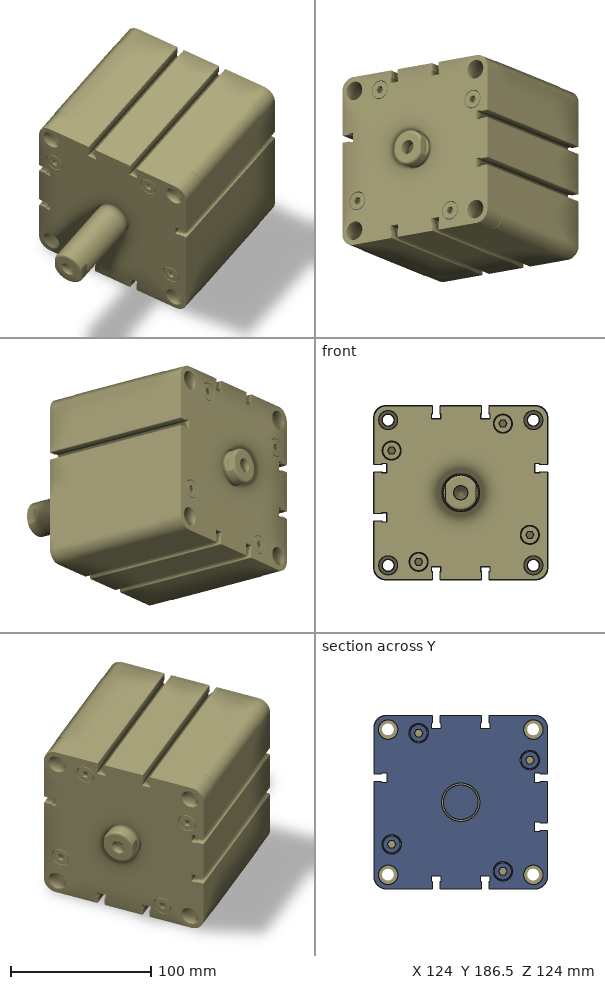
import cadquery as cq
import math

housing_width = 124.0
housing_length = 117.5
cover_length = 19.25
cover_corner_radius = 9.3
tube_corner_radius = 8.5
tube_length = housing_length - 2 * cover_length

slot_offset = 17.5
slot_mouth_width = 5.2
slot_mouth_depth = 5.8
slot_mouth_chamfer = 0.4
slot_inner_width = 6.5
slot_depth = 9.3

mounting_pitch = 103.4
mounting_hole_diameter = 8.38
mounting_bore_diameter = 13.5
mounting_bore_depth = 20.0

screw_far_offset = 49.2
screw_near_offset = 30.0
screw_bore_diameter = 13.5
screw_head_diameter = 12.5
screw_head_height = 7.0
screw_socket_flats = 5.0
screw_socket_depth = 4.0

rod_diameter = 25.0
rod_front_length = 59.5
rod_rear_length = 9.5
rod_length = rod_front_length + housing_length + rod_rear_length
rod_end_radius = 1.8
rod_flats_width = 22.0
rod_flats_length = 7.0
rod_seal_diameter = 27.0
rod_seal_depth = 2.0
rod_thread_diameter = 10.11
rod_thread_depth = 24.0
drill_tip_angle = 118.0

front_face_y = 0.0
rear_face_y = front_face_y + housing_length
rod_front_y = front_face_y - rod_front_length
middle_y = front_face_y + housing_length / 2


def section_plane(y):
    """Plane across the part at y: local x is X, local y is Z, normal is -Y."""
    return cq.Workplane("XZ", origin=(0, y, 0))


def rounded_block(start_y, length, corner_radius):
    block = section_plane(start_y).rect(housing_width, housing_width).extrude(-length)
    return block.edges("|Y").fillet(corner_radius)


def mirror_to_rear(shape):
    """Copy a feature of the front cover onto the rear cover."""
    return shape.mirror("XZ", (0, middle_y, 0))


def make_slot(offset, side_angle):
    """T-slot cutter for the top side, turned about Y to another side."""
    top = housing_width / 2
    mouth_half = slot_mouth_width / 2
    inner_half = slot_inner_width / 2
    left_half = [
        (-mouth_half - slot_mouth_chamfer, top),
        (-mouth_half, top - slot_mouth_chamfer),
        (-mouth_half, top - slot_mouth_depth),
        (-inner_half, top - slot_mouth_depth),
        (-inner_half, top - slot_depth),
    ]
    right_half = [(-x, z) for x, z in reversed(left_half)]
    slot = (
        section_plane(front_face_y)
        .center(offset, 0)
        .polyline(left_half + right_half)
        .close()
        .extrude(-housing_length)
    )
    return slot.rotate((0, 0, 0), (0, 1, 0), side_angle)


def make_housing():
    housing = rounded_block(front_face_y, cover_length, cover_corner_radius)
    housing = housing.union(rounded_block(front_face_y + cover_length, tube_length, tube_corner_radius))
    housing = housing.union(rounded_block(rear_face_y - cover_length, cover_length, cover_corner_radius))

    top_angle, right_angle, bottom_angle, left_angle = 0, 90, 180, 270
    for angle in (top_angle, bottom_angle, left_angle):
        for offset in (-slot_offset, slot_offset):
            housing = housing.cut(make_slot(offset, angle))
    return housing.cut(make_slot(-slot_offset, right_angle))


def make_mounting_holes():
    through = (
        section_plane(front_face_y)
        .rect(mounting_pitch, mounting_pitch, forConstruction=True)
        .vertices()
        .circle(mounting_hole_diameter / 2)
        .extrude(-housing_length)
    )
    bores = (
        section_plane(front_face_y)
        .rect(mounting_pitch, mounting_pitch, forConstruction=True)
        .vertices()
        .circle(mounting_bore_diameter / 2)
        .extrude(-mounting_bore_depth)
    )
    return through.union(bores).union(mirror_to_rear(bores))


def make_screw_recesses():
    """Ring gaps around the four screw heads, and their hexagon sockets."""
    centres = [
        (screw_near_offset, screw_far_offset),
        (screw_far_offset, -screw_near_offset),
        (-screw_near_offset, -screw_far_offset),
        (-screw_far_offset, screw_near_offset),
    ]
    rings = (
        section_plane(front_face_y)
        .pushPoints(centres)
        .circle(screw_bore_diameter / 2)
        .circle(screw_head_diameter / 2)
        .extrude(-screw_head_height)
    )
    socket_corner_diameter = screw_socket_flats / math.cos(math.pi / 6)
    sockets = (
        section_plane(front_face_y)
        .pushPoints(centres)
        .polygon(6, socket_corner_diameter)
        .extrude(-screw_socket_depth)
    )
    return rings.union(sockets)


def make_rod_seal_gap():
    return (
        section_plane(front_face_y)
        .circle(rod_seal_diameter / 2)
        .circle(rod_diameter / 2)
        .extrude(-rod_seal_depth)
    )


def make_rod_flat(side):
    """Cutter for one wrench flat at the front end, run out at 45 degrees; side is +1 or -1."""
    flat_x = rod_flats_width / 2
    outer_x = rod_diameter / 2
    flat_end_y = rod_front_y + rod_flats_length
    runout = outer_x - flat_x
    return (
        cq.Workplane("XY", origin=(0, 0, -rod_diameter / 2))
        .moveTo(side * flat_x, rod_front_y)
        .lineTo(side * flat_x, flat_end_y)
        .lineTo(side * outer_x, flat_end_y + runout)
        .lineTo(side * outer_x, rod_front_y)
        .close()
        .extrude(rod_diameter)
    )


def make_rod_thread_hole():
    radius = rod_thread_diameter / 2
    tip_length = radius / math.tan(math.radians(drill_tip_angle / 2))
    wall_end_y = rod_front_y + rod_thread_depth
    return (
        cq.Workplane("XY")
        .moveTo(0, rod_front_y)
        .lineTo(radius, rod_front_y)
        .lineTo(radius, wall_end_y)
        .lineTo(0, wall_end_y + tip_length)
        .close()
        .revolve(360, (0, 0, 0), (0, 1, 0))
    )


def make_rod():
    rod = section_plane(rod_front_y).circle(rod_diameter / 2).extrude(-rod_length)
    return rod.edges("%CIRCLE").fillet(rod_end_radius)


def cut_rod_ends(part):
    """Wrench flats and thread hole, the same at both rod ends."""
    rod_middle_y = rod_front_y + rod_length / 2
    for cutter in (make_rod_flat(1), make_rod_flat(-1), make_rod_thread_hole()):
        part = part.cut(cutter)
        part = part.cut(cutter.mirror("XZ", (0, rod_middle_y, 0)))
    return part


housing = make_housing().cut(make_mounting_holes())
screw_recesses = make_screw_recesses()
seal_gap = make_rod_seal_gap()
for recess in (screw_recesses, seal_gap):
    housing = housing.cut(recess)
    housing = housing.cut(mirror_to_rear(recess))

result = housing.union(cut_rod_ends(make_rod()))